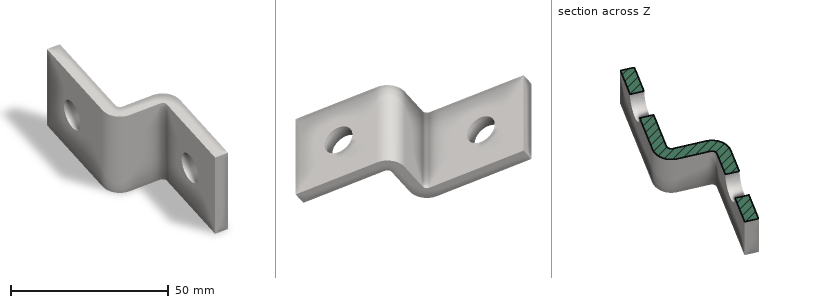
import cadquery as cq

length = 73.08
offset_depth = 23.83
width = 31.75
thickness = 4.76
inner_bend_radius = 1.59
web_outer_x = 41.28
hole_diameter = 10.32
hole_edge_distance = width / 2

outer_bend_radius = inner_bend_radius + thickness
web_inner_x = web_outer_x - thickness
rear_flange_y = offset_depth - thickness
hole_positions = (hole_edge_distance, length - hole_edge_distance)


def sharp_z_strip():
    """Z-shaped strip with square corners: front flange, web and rear flange."""
    profile = [
        (0, 0),
        (web_outer_x, 0),
        (web_outer_x, rear_flange_y),
        (length, rear_flange_y),
        (length, offset_depth),
        (web_inner_x, offset_depth),
        (web_inner_x, thickness),
        (0, thickness),
    ]
    return cq.Workplane("XY").polyline(profile).close().extrude(width)


def round_bend(body, corner, radius):
    """Round the vertical edge that stands at the given XY corner."""
    edge = cq.selectors.NearestToPointSelector((*corner, width / 2))
    return body.edges("|Z").edges(edge).fillet(radius)


def round_bends(body):
    """Give both bends concentric inner and outer radii."""
    for corner in ((web_outer_x, 0), (web_inner_x, offset_depth)):
        body = round_bend(body, corner, outer_bend_radius)
    for corner in ((web_inner_x, thickness), (web_outer_x, rear_flange_y)):
        body = round_bend(body, corner, inner_bend_radius)
    return body


def cut_flange_holes(body):
    """Drill one through hole along Y, centred in each flange."""
    centres = [(x, width / 2) for x in hole_positions]
    drills = (
        cq.Workplane("XZ")
        .pushPoints(centres)
        .circle(hole_diameter / 2)
        .extrude(-offset_depth)
    )
    return body.cut(drills)


result = cut_flange_holes(round_bends(sharp_z_strip()))